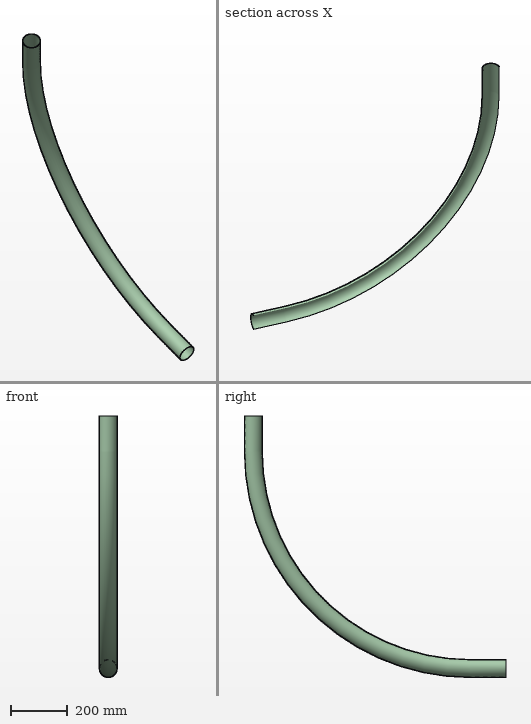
import cadquery as cq

overall_size = 921.0
outer_diameter = 63.5
inner_diameter = 60.0
straight_length = 126.0

axis_offset = outer_diameter / 2
bend_radius = overall_size - axis_offset - straight_length
bend_end = axis_offset + bend_radius


def tube_axis():
    """Centreline from the top of the upright end to the far end of the level one."""
    return (
        cq.Workplane("YZ")
        .moveTo(axis_offset, overall_size)
        .lineTo(axis_offset, bend_end)
        .radiusArc((bend_end, axis_offset), -bend_radius)
        .lineTo(overall_size, axis_offset)
    )


result = (
    cq.Workplane("XY", origin=(0, axis_offset, overall_size))
    .circle(outer_diameter / 2)
    .circle(inner_diameter / 2)
    .sweep(tube_axis())
)